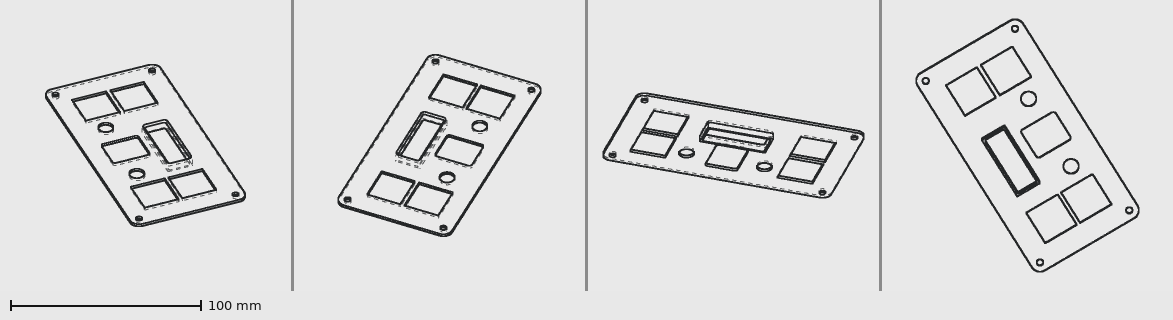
import cadquery as cq
import math

plate_length = 125.8
plate_width = 64.9
plate_thickness = 1.5
plate_corner_radius = 5

screw_hole_diameter = 3.4
screw_spacing_x = plate_length - 2 * plate_corner_radius
screw_spacing_y = plate_width - 2 * plate_corner_radius

square_size = 19.4
square_center_x = 40.6
lower_square_bottom = -21.1
upper_square_top = 19.6
short_square_height = 19.0

round_hole_diameter = 8.0
round_hole_x = 21.5
round_hole_y = -13.7

middle_cutout_length = 17.7
middle_cutout_width = 21.0
middle_cutout_y = -11.3
middle_cutout_radius = 1.5

total_height = 5
collar_x = 2.0
collar_y = 11.5
collar_length = 36.0
collar_width = 14.0
collar_wall = 1.0
window_length = collar_length - 2 * collar_wall
window_width = collar_width - 2 * collar_wall
window_radius = 1.0
bevel_angle = 45
bevel_depth = collar_wall / math.tan(math.radians(bevel_angle))


def block(length, width, height, center_x=0, center_y=0):
    """Rectangular block hanging down from the top face of the plate."""
    return (
        cq.Workplane("XY")
        .center(center_x, center_y)
        .rect(length, width)
        .extrude(-height)
    )


def round_corners(body, radius):
    """Round the four upright edges of a block."""
    return body.edges("|Z").fillet(radius)


def square_cutout(side, bottom, top):
    """Sharp-cornered cutout on the left (-1) or right (1) side of the plate."""
    return block(square_size, top - bottom, plate_thickness, side * square_center_x, (bottom + top) / 2)


def display_window():
    """Rounded window whose top rim flares out to the length and width of the collar."""
    opening = round_corners(
        block(window_length, window_width, total_height, collar_x, collar_y), window_radius
    )
    flare = (
        cq.Workplane("XY", origin=(collar_x, collar_y, -bevel_depth))
        .placeSketch(cq.Sketch().rect(window_length, window_width).vertices().fillet(window_radius))
        .extrude(bevel_depth, taper=-bevel_angle)
    )
    return opening.union(flare)


plate = round_corners(block(plate_length, plate_width, plate_thickness), plate_corner_radius)
collar = block(collar_length, collar_width, total_height, collar_x, collar_y)
result = plate.union(collar).cut(display_window())

lower_square_top = lower_square_bottom + square_size
for side, upper_height in ((-1, short_square_height), (1, square_size)):
    lower_square = square_cutout(side, lower_square_bottom, lower_square_top)
    upper_square = square_cutout(side, upper_square_top - upper_height, upper_square_top)
    result = result.cut(lower_square).cut(upper_square)

middle_cutout = block(
    middle_cutout_length, middle_cutout_width, plate_thickness, 0, middle_cutout_y
)
result = result.cut(round_corners(middle_cutout, middle_cutout_radius))

round_holes = (
    cq.Workplane("XY")
    .pushPoints([(-round_hole_x, round_hole_y), (round_hole_x, round_hole_y)])
    .circle(round_hole_diameter / 2)
    .extrude(-plate_thickness)
)
screw_holes = (
    cq.Workplane("XY")
    .rect(screw_spacing_x, screw_spacing_y, forConstruction=True)
    .vertices()
    .circle(screw_hole_diameter / 2)
    .extrude(-plate_thickness)
)
result = result.cut(round_holes).cut(screw_holes)